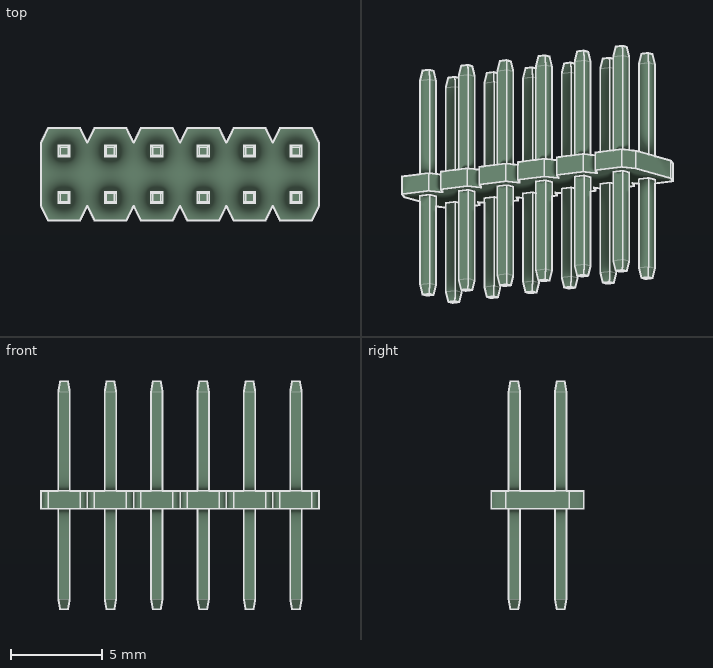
import cadquery as cq

body_length = 15.24
columns = 6
rows = 2
body_height = 0.99
pin_above_body = 6.0
pin_length = 12.5
pin_width = 0.64
tip_width = 0.44
tip_length = 0.56
notch_half_width = 0.4
notch_depth = 0.81

pitch = body_length / columns
body_width = rows * pitch
body_top = pin_length / 2 - pin_above_body
body_bottom = body_top - body_height
shaft_length = pin_length - 2 * tip_length


def long_edge_points():
    """Front edge from left to right: one chamfered segment per column, meeting in V notches."""
    edge_y = -body_width / 2
    valley_y = edge_y + notch_depth
    points = [(-body_length / 2, valley_y)]
    for column in range(columns):
        left = -body_length / 2 + column * pitch
        right = left + pitch
        points += [
            (left + notch_half_width, edge_y),
            (right - notch_half_width, edge_y),
            (right, valley_y),
        ]
    return points


def make_body():
    """Flat insulator plate, symmetric front to back."""
    front_edge = long_edge_points()
    back_edge = [(-x, -y) for x, y in front_edge]
    return (
        cq.Workplane("XY", origin=(0, 0, body_bottom))
        .polyline(front_edge + back_edge)
        .close()
        .extrude(body_height)
    )


def make_pin():
    """Square pin centred on the origin, tapered at both ends."""
    shaft = cq.Workplane("XY").box(pin_width, pin_width, shaft_length)
    top_tip = (
        cq.Workplane("XY", origin=(0, 0, shaft_length / 2))
        .rect(pin_width, pin_width)
        .workplane(offset=tip_length)
        .rect(tip_width, tip_width)
        .loft(ruled=True)
    )
    return shaft.union(top_tip).union(top_tip.mirror("XY"))


result = make_body()
pin = make_pin()
for column in range(columns):
    for row in range(rows):
        pin_x = (column - (columns - 1) / 2) * pitch
        pin_y = (row - (rows - 1) / 2) * pitch
        result = result.union(pin.translate((pin_x, pin_y, 0)))